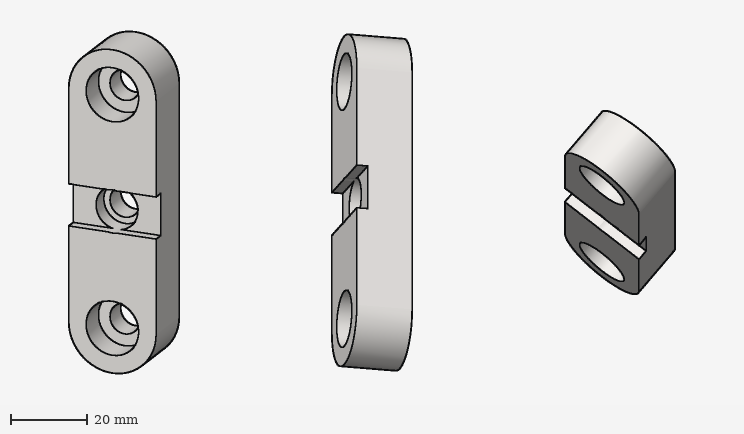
import cadquery as cq

length = 90.0
width = 25.0
thickness = 15.0
end_hole_offset = (length - width) / 2

hole_diameter = 8.5
end_bore_diameter = 15.0
end_bore_depth = 8.0
middle_bore_diameter = 12.0
middle_bore_depth = 8.0

groove_height = 11.7
groove_depth = 3.0

front_y = -thickness / 2


def cylinder_from_front(diameter, depth, z):
    """Cylinder running from the front face into the bar at height z."""
    start = cq.Vector(0, front_y, z)
    return cq.Workplane(cq.Solid.makeCylinder(diameter / 2, depth, start, cq.Vector(0, 1, 0)))


def counterbored_hole(bore_diameter, bore_depth, z):
    """Through hole with a wider flat-bottomed bore at the front."""
    through_hole = cylinder_from_front(hole_diameter, thickness, z)
    return through_hole.union(cylinder_from_front(bore_diameter, bore_depth, z))


body = (
    cq.Workplane("XZ")
    .slot2D(length, width, 90)
    .extrude(thickness / 2, both=True)
)

groove = cq.Workplane("XY").box(width, groove_depth, groove_height)
body = body.cut(groove.translate((0, front_y + groove_depth / 2, 0)))

body = body.cut(counterbored_hole(middle_bore_diameter, middle_bore_depth, 0))
for hole_z in (-end_hole_offset, end_hole_offset):
    body = body.cut(counterbored_hole(end_bore_diameter, end_bore_depth, hole_z))

result = body